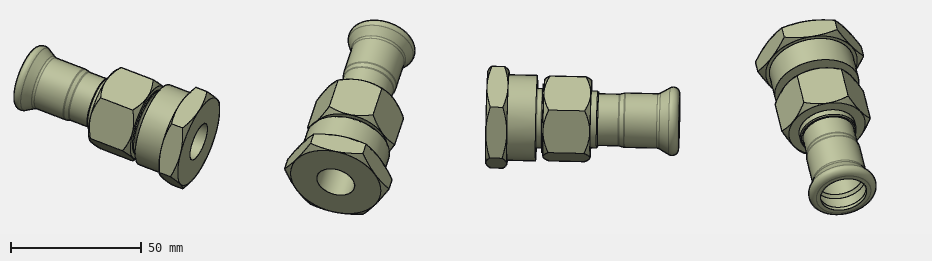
import cadquery as cq
import math


bead_radius = 26.4 / 2
bead_round = 2.5
bead_cone_angle = 30.0
socket_radius = 10.5
socket_end = 21.0
tube_radius = 10.0
tube_start = 23.1
blend_radius = 2.1
step_blend_radius = 1.5

collar_radius = 22.0 / 2
collar_start = 31.15
collar_chamfer = 0.45

nut_start = 34.0
nut_end = 52.1
nut_across_flats = 30.05
nut_face_radius = 14.95
nut_chamfer_angle = 42.0
nut_lip = 3.7

thread_radius = 26.4 / 2
thread_end = 52.6
neck_radius = 23.0 / 2
neck_fillet = 0.3
barrel_radius = 33.0 / 2
barrel_start = 54.9

hex_start = 65.85
total_length = 74.0
hex_across_flats = 36.0
hex_face_radius = 17.9
hex_chamfer_angle = 30.0

socket_bore_radius = 9.0
socket_depth = 21.0
bore_radius = 7.5

groove_start = 1.5
groove_radius = 9.85
groove_cone_start = 6.65


def axial_cylinder(start, end, radius):
    return cq.Workplane("YZ").workplane(offset=start).circle(radius).extrude(end - start)


def chamfered_hexagon(start, end, across_flats, face_radius, chamfer_angle):
    """Hexagonal prism along X with corners on +Y and -Y, turned down to a cone at both ends."""
    corner_radius = across_flats / math.sqrt(3)
    chamfer_depth = (corner_radius - face_radius) * math.tan(math.radians(chamfer_angle))
    prism = (
        cq.Workplane("YZ").workplane(offset=start)
        .polygon(6, 2 * corner_radius).extrude(end - start)
    )
    envelope = (
        cq.Workplane("XY")
        .moveTo(start, 0)
        .lineTo(start, face_radius)
        .lineTo(start + chamfer_depth, corner_radius)
        .lineTo(end - chamfer_depth, corner_radius)
        .lineTo(end, face_radius)
        .lineTo(end, 0)
        .close()
        .revolve(360, (0, 0, 0), (1, 0, 0))
    )
    return prism.intersect(envelope)


def make_press_end():
    """Beaded press socket, stepping down to the tube that runs to the collar."""
    cone = math.radians(bead_cone_angle)
    bead_center_radius = bead_radius - bead_round
    cone_top = (
        bead_round + bead_round * math.sin(cone),
        bead_center_radius + bead_round * math.cos(cone),
    )
    bead_middle = (
        bead_round - bead_round * math.cos(cone),
        bead_center_radius + bead_round * math.sin(cone),
    )
    blend_start_radius = socket_radius + blend_radius * (1 - math.cos(cone))
    blend_start = cone_top[0] + (cone_top[1] - blend_start_radius) / math.tan(cone)
    blend_end = blend_start + blend_radius * math.sin(cone)
    blend_middle = (
        blend_end - blend_radius * math.sin(cone / 2),
        socket_radius + blend_radius * (1 - math.cos(cone / 2)),
    )
    profile = (
        cq.Workplane("XY")
        .moveTo(0, 0)
        .lineTo(0, bead_center_radius)
        .threePointArc(bead_middle, cone_top)
        .lineTo(blend_start, blend_start_radius)
        .threePointArc(blend_middle, (blend_end, socket_radius))
        .lineTo(socket_end, socket_radius)
        .lineTo(tube_start, tube_radius)
        .lineTo(collar_start, tube_radius)
        .lineTo(collar_start, 0)
        .close()
    )
    press_end = profile.revolve(360, (0, 0, 0), (1, 0, 0))
    step_margin = (tube_start - socket_end) / 4
    step_edges = cq.selectors.BoxSelector(
        (socket_end - step_margin, -bead_radius, -bead_radius),
        (tube_start + step_margin, bead_radius, bead_radius),
    )
    return press_end.edges("%CIRCLE").edges(step_edges).fillet(step_blend_radius)


def make_seal_groove():
    """Ring groove in the bead whose far wall is a cone parallel to the outside of the bead."""
    cone_length = (groove_radius - socket_bore_radius) / math.tan(math.radians(bead_cone_angle))
    return (
        cq.Workplane("XY")
        .moveTo(groove_start, 0)
        .lineTo(groove_start, groove_radius)
        .lineTo(groove_cone_start, groove_radius)
        .lineTo(groove_cone_start + cone_length, socket_bore_radius)
        .lineTo(groove_cone_start + cone_length, 0)
        .close()
        .revolve(360, (0, 0, 0), (1, 0, 0))
    )


def make_fitting():
    shoulder = nut_start + nut_lip
    collar = axial_cylinder(collar_start, shoulder, collar_radius).faces("<X").chamfer(collar_chamfer)
    thread = axial_cylinder(shoulder, thread_end, thread_radius)
    neck = axial_cylinder(thread_end, barrel_start, neck_radius)
    barrel = axial_cylinder(barrel_start, hex_start, barrel_radius)
    end_hexagon = chamfered_hexagon(
        hex_start, total_length, hex_across_flats, hex_face_radius, hex_chamfer_angle
    )
    body = make_press_end().union(collar).union(thread).union(neck).union(barrel)
    neck_corners = cq.selectors.RadiusNthSelector(0)
    neck_edges = cq.selectors.BoxSelector(
        (thread_end - neck_fillet, -neck_radius, -neck_radius),
        (barrel_start + neck_fillet, neck_radius, neck_radius),
    )
    body = body.edges("%CIRCLE").edges(neck_edges).edges(neck_corners).fillet(neck_fillet)
    body = body.union(end_hexagon)
    body = body.cut(axial_cylinder(0, socket_depth, socket_bore_radius))
    body = body.cut(make_seal_groove())
    return body.cut(axial_cylinder(0, total_length, bore_radius))


def make_nut():
    """Union nut: a lip around the collar, then a wider bore over the thread."""
    nut = chamfered_hexagon(nut_start, nut_end, nut_across_flats, nut_face_radius, nut_chamfer_angle)
    nut = nut.cut(axial_cylinder(nut_start, nut_end, collar_radius))
    return nut.cut(axial_cylinder(nut_start + nut_lip, nut_end, thread_radius))


fitting = make_fitting()
union_nut = make_nut()
result = cq.Compound.makeCompound([fitting.val(), union_nut.val()])